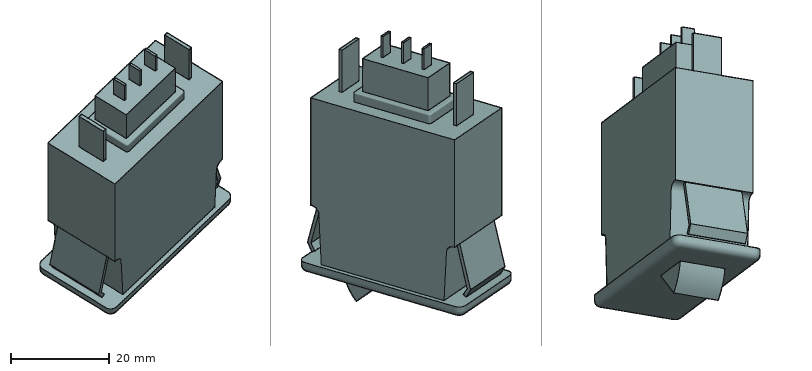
import cadquery as cq
import math


bezel_width = 19.6
bezel_length = 39.65
bezel_thickness = 2.4
bezel_corner_radius = 1.6
bezel_rim_radius = 1.25

overall_height = 59.7

rocker_tip_z = -8.25
rocker_width = 10.0
rocker_tip_y = 8.85
rocker_flat_start_y = 2.7
rocker_arc_start_y = 12.0
rocker_arc_mid = (10.85, -5.6)

body_width = 17.5
body_length = 35.0
body_top_z = 37.2
shoulder_z = 12.8
shoulder_radius = 1.7
waist_half_bottom = 14.9
waist_draft_angle = 3.0
waist_half_top = waist_half_bottom + shoulder_z * math.tan(math.radians(waist_draft_angle))

clip_width = 12.8
clip_outer_top_y = 17.15
clip_inner_top_y = 16.35
clip_elbow_z = 2.8
clip_inner_elbow_y = 19.0
clip_outer_tip = (18.75, 0.85)
clip_inner_tip = (18.0, 1.25)

collar_width = 11.0
collar_length = 18.8
collar_height = 2.1
collar_corner_radius = 0.55
collar_rim_radius = 0.3
block_width = 8.1
block_length = 15.95
block_top_z = 46.75

pin_width = 2.8
pin_thickness = 0.5
pin_pitch = 5.0
pin_top_z = overall_height + rocker_tip_z
spade_width = 6.3
spade_thickness = 0.8
spade_offset = 13.9


def upright_box(width, length, bottom_z, top_z, center_y=0):
    """Box centred on X = 0, spanning bottom_z to top_z."""
    box = cq.Workplane("XY").box(width, length, top_z - bottom_z, centered=(True, True, False))
    return box.translate((0, center_y, bottom_z))


def extrude_across(profile, width):
    """Extrude a closed YZ profile symmetrically about X = 0."""
    return profile.extrude(width / 2, both=True)


def make_bezel():
    bezel = upright_box(bezel_width, bezel_length, -bezel_thickness, 0)
    bezel = bezel.edges("|Z").fillet(bezel_corner_radius)
    return bezel.faces("<Z").edges().fillet(bezel_rim_radius)


def make_body():
    """Housing with a tapered waist below a filleted shoulder on both ends."""
    half_length = body_length / 2
    profile = (
        cq.Workplane("YZ")
        .moveTo(-waist_half_bottom, 0)
        .lineTo(waist_half_bottom, 0)
        .lineTo(waist_half_top, shoulder_z)
        .lineTo(half_length, shoulder_z)
        .lineTo(half_length, body_top_z)
        .lineTo(-half_length, body_top_z)
        .lineTo(-half_length, shoulder_z)
        .lineTo(-waist_half_top, shoulder_z)
        .close()
    )
    body = extrude_across(profile, body_width)
    reach_y = (waist_half_top + half_length) / 2
    waist_corners = cq.selectors.BoxSelector(
        (-body_width, -reach_y, shoulder_z / 2),
        (body_width, reach_y, (shoulder_z + body_top_z) / 2),
    )
    return body.edges("|X").edges(waist_corners).fillet(shoulder_radius)


def make_clip():
    """Bent leaf spring on the +Y end, hanging from the shoulder."""
    profile = cq.Workplane("YZ").polyline([
        (clip_outer_top_y, shoulder_z),
        (bezel_length / 2, clip_elbow_z),
        clip_outer_tip,
        clip_inner_tip,
        (clip_inner_elbow_y, clip_elbow_z),
        (clip_inner_top_y, shoulder_z),
    ]).close()
    return extrude_across(profile, clip_width)


def make_rocker():
    """Exposed half of the tilted rocker: one flat face and one curved face."""
    profile = (
        cq.Workplane("YZ")
        .moveTo(rocker_flat_start_y, -bezel_thickness)
        .lineTo(rocker_tip_y, rocker_tip_z)
        .threePointArc(rocker_arc_mid, (rocker_arc_start_y, -bezel_thickness))
        .close()
    )
    return extrude_across(profile, rocker_width)


def make_collar():
    collar = upright_box(collar_width, collar_length, body_top_z, body_top_z + collar_height)
    collar = collar.edges("|Z").fillet(collar_corner_radius)
    return collar.faces(">Z").edges().fillet(collar_rim_radius)


result = make_body().union(make_bezel()).union(make_rocker())

clip = make_clip()
result = result.union(clip).union(clip.mirror("XZ"))

result = result.union(make_collar())
result = result.union(upright_box(block_width, block_length, body_top_z, block_top_z))

for pin_y in (-pin_pitch, 0, pin_pitch):
    result = result.union(upright_box(pin_width, pin_thickness, block_top_z, pin_top_z, pin_y))

for spade_y in (-spade_offset, spade_offset):
    result = result.union(upright_box(spade_width, spade_thickness, body_top_z, block_top_z, spade_y))